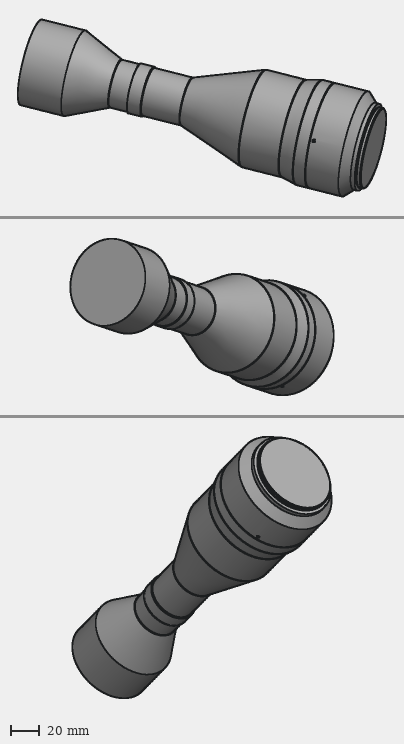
import cadquery as cq
import math

total_length = 251.8
head_end = 32.0
neck_start = 62.2
collar_start = 76.0
collar_end = 85.9
neck_end = 114.5
barrel_start = 164.0
barrel_end = 193.5
body_start = 204.7
seam_position = 213.8
body_end = 238.2
flange_start = 245.0
flange_end = 248.0

head_radius = 31.0
neck_radius = 17.5
collar_radius = 18.1
barrel_radius = 35.3
body_radius = 38.0
flange_radius = 31.5
spigot_radius = 29.2

relief_width = 0.8
relief_depth = 0.8
spigot_chamfer = 0.8
seam_width = 0.5
seam_depth = 0.3
screw_hole_diameter = 2.0
screw_hole_depth = 2.5
screw_hole_position = 216.5
screw_hole_count = 3
first_screw_angle = 16.0


def make_body():
    """Revolve the stepped and tapered outline about the X axis."""
    relief_end = flange_end + relief_width
    relief_radius = spigot_radius - relief_depth
    outline = [
        (0, 0),
        (0, head_radius),
        (head_end, head_radius),
        (neck_start, neck_radius),
        (collar_start, neck_radius),
        (collar_start, collar_radius),
        (collar_end, collar_radius),
        (collar_end, neck_radius),
        (neck_end, neck_radius),
        (barrel_start, barrel_radius),
        (barrel_end, barrel_radius),
        (body_start, body_radius),
        (body_end, body_radius),
        (flange_start, flange_radius),
        (flange_end, flange_radius),
        (flange_end, relief_radius),
        (relief_end, relief_radius),
        (relief_end, spigot_radius),
        (total_length - spigot_chamfer, spigot_radius),
        (total_length, spigot_radius - spigot_chamfer),
        (total_length, 0),
    ]
    return cq.Workplane("XY").polyline(outline).close().revolve(360, (0, 0, 0), (1, 0, 0))


def make_seam(position, radius):
    """Thin ring that cuts a shallow groove where two sections meet."""
    return (
        cq.Workplane("YZ", origin=(position - seam_width / 2, 0, 0))
        .circle(radius + seam_depth)
        .circle(radius - seam_depth)
        .extrude(seam_width)
    )


def make_screw_hole(angle):
    """Radial cutter for one blind set-screw hole."""
    outward = cq.Vector(0, math.cos(math.radians(angle)), math.sin(math.radians(angle)))
    bottom = cq.Vector(screw_hole_position, 0, 0) + outward * (body_radius - screw_hole_depth)
    return cq.Solid.makeCylinder(screw_hole_diameter / 2, 2 * screw_hole_depth, bottom, outward)


seams = [
    (neck_start, neck_radius),
    (collar_end + seam_width / 2, neck_radius),
    (neck_end, neck_radius),
    (barrel_start, barrel_radius),
    (barrel_end, barrel_radius),
    (body_start, body_radius),
    (seam_position, body_radius),
]

result = make_body()
for position, radius in seams:
    result = result.cut(make_seam(position, radius))
for index in range(screw_hole_count):
    result = result.cut(make_screw_hole(first_screw_angle + index * 360 / screw_hole_count))